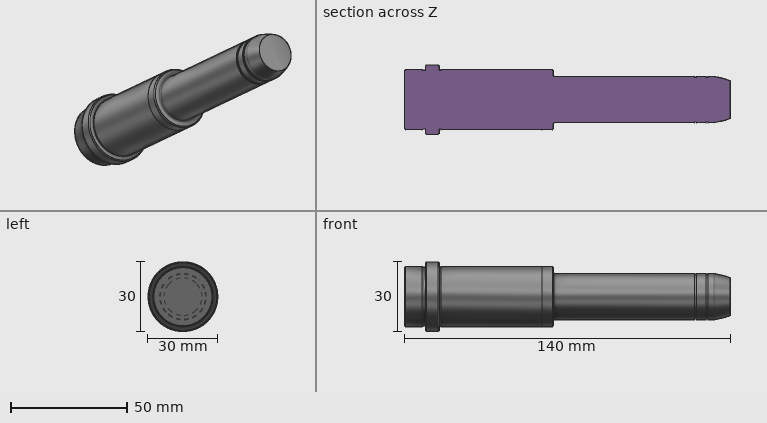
import cadquery as cq


pin_diameter = 20.0
shank_diameter = 26.0
collar_diameter = 30.0

total_length = 140.0
collar_start = 9.0
collar_end = 15.0
shank_end = 64.0

edge_chamfer = 0.5
pin_root_fillet = 0.5

undercut_depth = 0.35
undercut_collar_depth = 0.25
head_undercut_width = 1.4
shank_undercut_width = 0.7

lead_length = 5.0
lead_diameter = shank_diameter - 0.04

tip_length = 7.0
tip_end_diameter = 16.25
tip_flank_radius = 30.0
tip_start = total_length - tip_length

groove_count = 2
groove_pitch = 5.0
groove_width = 0.8
groove_depth = 0.3
last_groove_center = tip_start - 3.0


def cylinder(start, end, diameter):
    return cq.Workplane("YZ", origin=(start, 0, 0)).circle(diameter / 2).extrude(end - start)


def revolve_about_x(profile):
    return profile.close().revolve(360, (0, 0, 0), (1, 0, 0))


def make_head():
    return cylinder(0, collar_start, shank_diameter).faces("<X").chamfer(edge_chamfer)


def make_collar():
    collar = cylinder(collar_start, collar_end, collar_diameter)
    return collar.faces("<X or >X").chamfer(edge_chamfer)


def make_shank():
    lead_start = shank_end - lead_length
    body = cylinder(collar_end, lead_start, shank_diameter)
    lead = cylinder(lead_start, shank_end, lead_diameter).faces(">X").chamfer(edge_chamfer)
    return body.union(lead)


def make_pin():
    radius = pin_diameter / 2
    profile = (
        cq.Workplane("XY")
        .moveTo(shank_end, 0)
        .lineTo(shank_end, radius + pin_root_fillet)
        .radiusArc((shank_end + pin_root_fillet, radius), -pin_root_fillet)
        .lineTo(tip_start, radius)
        .radiusArc((total_length, tip_end_diameter / 2), tip_flank_radius)
        .lineTo(total_length, 0)
    )
    return revolve_about_x(profile)


def round_undercut(collar_face, outer_edge):
    """Ring with an arc-shaped floor, running from the shank surface to a collar face."""
    radius = shank_diameter / 2
    profile = (
        cq.Workplane("XY")
        .moveTo(outer_edge, radius)
        .threePointArc(
            ((outer_edge + collar_face) / 2, radius - undercut_depth),
            (collar_face, radius - undercut_collar_depth),
        )
        .lineTo(collar_face, radius)
    )
    return revolve_about_x(profile)


def square_groove(start, width, diameter, depth):
    """Ring that cuts a flat-bottomed groove into a cylinder of the given diameter."""
    return cylinder(start, start + width, diameter).cut(cylinder(start, start + width, diameter - 2 * depth))


result = make_head().union(make_collar()).union(make_shank()).union(make_pin())
result = result.cut(round_undercut(collar_start, collar_start - head_undercut_width))
result = result.cut(round_undercut(collar_end, collar_end + shank_undercut_width))
for index in range(groove_count):
    groove_start = last_groove_center - index * groove_pitch - groove_width / 2
    result = result.cut(square_groove(groove_start, groove_width, pin_diameter, groove_depth))